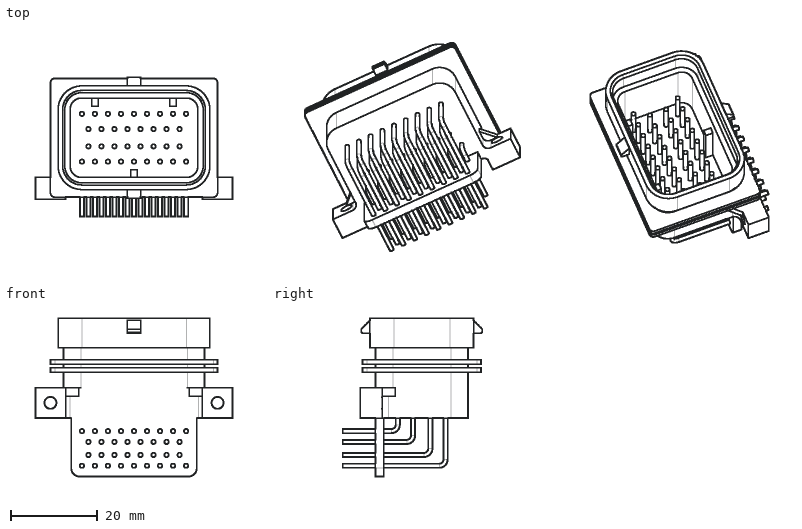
import cadquery as cq
import math


body_length = 32.5
body_width = 21.4
body_radius = 4.0
total_height = 23.0
collar_length = 35.0
collar_width = 23.9
collar_radius = 5.5
collar_base_z = 16.2

flange_length = 38.5
flange_width = 27.4
flange_radius = 1.0
flange_thickness = 1.1
flange_base_levels = (10.5, 12.35)

collar_wall = 1.55
mouth_chamfer_run = 0.5
mouth_chamfer_depth = 0.9
ledge_z = 17.7
cavity_length = 29.4
cavity_width = 18.3
cavity_radius = 2.6
floor_z = 2.0

rear_key_x = 8.95
rear_key_width = 1.5
rear_key_depth = 1.9
front_key_width = 1.4
front_key_depth = 1.75
key_top_z = 13.3

latch_width = 3.0
latch_reach = 2.0
latch_top_z = 22.5
latch_bottom_z = 19.5
latch_edge_chamfer = 0.3

ear_height = 7.0
ear_size_x = 7.0
ear_outer_x = 22.75
ear_front_y = -14.2
ear_back_y = -9.1
ear_hole_diameter = 2.7
web_thickness = 2.0
web_run = 3.05
side_fillet = 1.4
front_fillet = 1.0

plate_length = 29.0
plate_thickness = 2.0
plate_bottom_z = -13.5
plate_radius = 2.0

outer_pin_top_z = 10.5
inner_pin_top_z = 10.1
pin_rows = (
    (-5.5, -3.0, outer_pin_top_z, 9),
    (-2.0, -5.5, inner_pin_top_z, 8),
    (2.0, -8.5, inner_pin_top_z, 8),
    (5.5, -11.0, outer_pin_top_z, 9),
)
pin_pitch = 3.0
pin_diameter = 1.0
pin_bend_radius = 1.5
pin_tip_y = -18.2

body_side_x = body_length / 2
body_front_y = -body_width / 2
ear_inner_x = ear_outer_x - ear_size_x


def rounded_block(length, width, radius, bottom_z, top_z):
    block = cq.Workplane("XY").box(length, width, top_z - bottom_z, centered=(True, True, False))
    return block.edges("|Z").fillet(radius).translate((0, 0, bottom_z))


def box_between(x_range, y_range, z_range):
    size = [high - low for low, high in (x_range, y_range, z_range)]
    corner = (x_range[0], y_range[0], z_range[0])
    return cq.Workplane("XY").box(*size, centered=False).translate(corner)


def mirrored_pair(shape):
    return shape.union(shape.mirror("YZ"))


def make_shell():
    shell = rounded_block(body_length, body_width, body_radius, 0, total_height)
    collar = rounded_block(collar_length, collar_width, collar_radius, collar_base_z, total_height)
    shell = shell.union(collar)
    for base_z in flange_base_levels:
        top_z = base_z + flange_thickness
        shell = shell.union(rounded_block(flange_length, flange_width, flange_radius, base_z, top_z))
    return shell


def make_cavity():
    mouth_length = collar_length - 2 * collar_wall
    mouth_width = collar_width - 2 * collar_wall
    mouth_radius = collar_radius - collar_wall
    mouth = rounded_block(mouth_length, mouth_width, mouth_radius, ledge_z, total_height)
    flare = rounded_block(
        mouth_length + 2 * mouth_chamfer_run,
        mouth_width + 2 * mouth_chamfer_run,
        mouth_radius + mouth_chamfer_run,
        total_height - mouth_chamfer_depth,
        total_height + mouth_chamfer_depth,
    )
    flare = flare.faces("<Z").chamfer(mouth_chamfer_depth, mouth_chamfer_run)
    well = rounded_block(cavity_length, cavity_width, cavity_radius, floor_z, ledge_z)
    return mouth.union(flare).union(well)


def make_keys():
    wall_y = cavity_width / 2
    sink = 0.5
    heights = (floor_z - sink, key_top_z)
    rear_x = (rear_key_x - rear_key_width / 2, rear_key_x + rear_key_width / 2)
    rear_keys = mirrored_pair(box_between(rear_x, (wall_y - rear_key_depth, wall_y + sink), heights))
    front_x = (-front_key_width / 2, front_key_width / 2)
    return rear_keys.union(box_between(front_x, (-wall_y - sink, -wall_y + front_key_depth), heights))


def make_latches():
    face_y = collar_width / 2
    tip_y = face_y + latch_reach
    sink_y = face_y - collar_wall / 2
    latch = (
        cq.Workplane("YZ")
        .polyline([
            (sink_y, latch_top_z),
            (face_y, latch_top_z),
            (tip_y, latch_top_z - latch_reach),
            (tip_y, latch_bottom_z + latch_edge_chamfer),
            (tip_y - latch_edge_chamfer, latch_bottom_z),
            (sink_y, latch_bottom_z),
        ])
        .close()
        .extrude(latch_width / 2, both=True)
    )
    return latch.union(latch.mirror("XZ"))


def make_ears():
    """Two ears, squared into the body corners, with a sloping web at the top of each."""
    flat_x = body_side_x - body_radius
    ear = (
        cq.Workplane("XY")
        .moveTo(flat_x, body_front_y)
        .lineTo(ear_inner_x - front_fillet, body_front_y)
        .radiusArc((ear_inner_x, body_front_y - front_fillet), front_fillet)
        .lineTo(ear_inner_x, ear_front_y)
        .lineTo(ear_outer_x, ear_front_y)
        .lineTo(ear_outer_x, ear_back_y)
        .lineTo(body_side_x + side_fillet, ear_back_y)
        .radiusArc((body_side_x, ear_back_y + side_fillet), side_fillet)
        .lineTo(body_side_x, body_front_y + body_radius)
        .lineTo(flat_x, body_front_y + body_radius)
        .close()
        .extrude(ear_height)
    )
    web_inner_x = ear_inner_x - web_run
    web = (
        cq.Workplane("XY", origin=(0, 0, ear_height - web_thickness))
        .polyline([
            (web_inner_x, body_front_y + body_radius),
            (web_inner_x, body_front_y),
            (ear_inner_x, body_front_y - web_run),
            (ear_inner_x, ear_front_y),
            (ear_outer_x, ear_front_y),
            (ear_outer_x, ear_back_y),
            (body_side_x + web_run, ear_back_y),
            (body_side_x, ear_back_y + web_run),
        ])
        .close()
        .extrude(web_thickness)
    )
    hole = (
        cq.Workplane("XZ", origin=(ear_inner_x + ear_size_x / 2, 0, ear_height / 2))
        .circle(ear_hole_diameter / 2)
        .extrude(-ear_front_y)
    )
    return mirrored_pair(ear.union(web)), mirrored_pair(hole)


def make_plate():
    plate = box_between(
        (-plate_length / 2, plate_length / 2),
        (body_front_y, body_front_y + plate_thickness),
        (plate_bottom_z, floor_z),
    )
    return plate.edges("|Y and <Z").fillet(plate_radius)


def make_pin(x, row_y, tail_z, top_z):
    bend = pin_bend_radius
    bend_offset = bend * (1 - math.sqrt(0.5))
    path = (
        cq.Workplane("YZ", origin=(x, 0, 0))
        .moveTo(row_y, top_z)
        .lineTo(row_y, tail_z + bend)
        .threePointArc((row_y - bend_offset, tail_z + bend_offset), (row_y - bend, tail_z))
        .lineTo(pin_tip_y, tail_z)
    )
    return cq.Workplane("XY", origin=(x, row_y, top_z)).circle(pin_diameter / 2).sweep(path)


def make_pins():
    pins = []
    for row_y, tail_z, top_z, count in pin_rows:
        for index in range(count):
            x = (index - (count - 1) / 2) * pin_pitch
            pins.append(make_pin(x, row_y, tail_z, top_z).val())
    return pins


ears, ear_holes = make_ears()
housing = make_shell().union(ears).union(make_latches()).union(make_plate())
housing = housing.cut(make_cavity()).cut(ear_holes).union(make_keys())
result = cq.Workplane("XY").newObject([housing.val().fuse(*make_pins())])